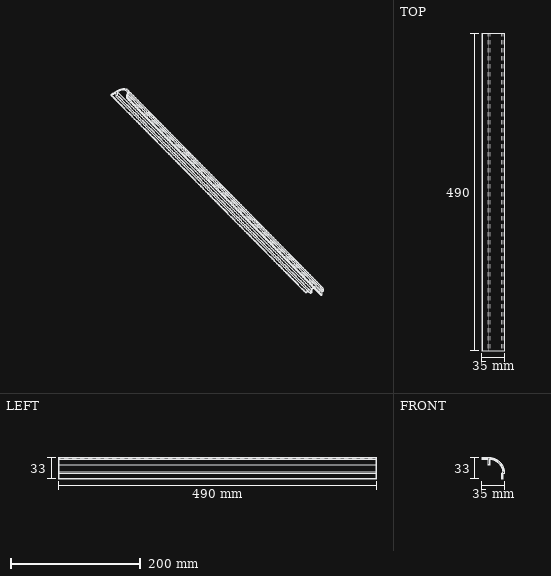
import cadquery as cq
import math

length = 490.0
width = 35.0
height = 33.0
wall = 3.0
arc_wall = 2.5

outer_radius = 25.0
inner_radius = outer_radius - arc_wall
arc_center_x = width - outer_radius
arc_center_z = -outer_radius

rib_left = 9.0
rib_depth = 11.5

leg_left = 30.0
leg_thickness = 2.0
shoulder_top = -22.0
shoulder_bottom = -24.5


def arc_point(radius, angle):
    """Point on an arc about the cover center, angle in degrees from +X."""
    a = math.radians(angle)
    return arc_center_x + radius * math.cos(a), arc_center_z + radius * math.sin(a)


def extrude_profile(profile):
    """Extrude a closed XZ outline along the full length, centered on Y."""
    return profile.close().extrude(length / 2, both=True)


shoulder_angle = math.degrees(math.asin((shoulder_top - arc_center_z) / inner_radius))
mid_angle = (90 + shoulder_angle) / 2
leg_right = leg_left + leg_thickness

cover = extrude_profile(
    cq.Workplane("XZ")
    .moveTo(0, 0)
    .lineTo(arc_center_x, 0)
    .threePointArc(arc_point(outer_radius, 45), arc_point(outer_radius, 0))
    .lineTo(leg_right, arc_center_z)
    .lineTo(leg_right, -height)
    .lineTo(leg_left, -height)
    .lineTo(leg_left, shoulder_bottom)
    .lineTo(*arc_point(inner_radius, shoulder_angle))
    .threePointArc(arc_point(inner_radius, mid_angle), arc_point(inner_radius, 90))
    .lineTo(arc_center_x, -wall)
    .lineTo(0, -wall)
)

rib_top = -wall / 2
rib = extrude_profile(
    cq.Workplane("XZ")
    .moveTo(rib_left, rib_top)
    .lineTo(rib_left + wall, rib_top)
    .lineTo(rib_left + wall, -rib_depth)
    .lineTo(rib_left, -rib_depth)
)

result = cover.union(rib)